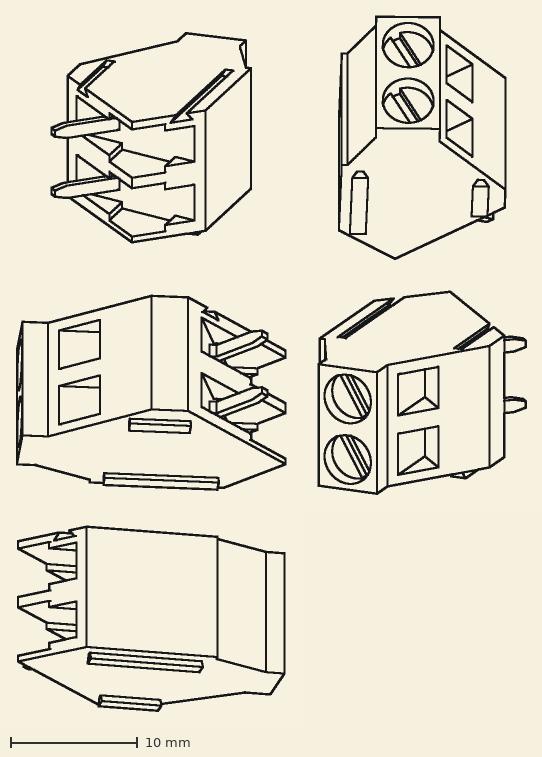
import cadquery as cq


LENGTH = 17.11
DEPTH = 16.28
HEIGHT = 10.07
HEAD_RUN = 3.56
HEAD_NECK_LEFT = 1.43
HEAD_NECK_RIGHT = 1.05
CORNER_CHAMFER = 2.05
CHAMFER_X = 5.13
RIGHT_SIDE_DEPTH = 6.39
RIDGE_X = 9.63
RIDGE_STEP = 0.32

POLES = 2
FIRST_POLE_Z = 2.5
CONTACT_PITCH = 5.01
CELL_PITCH = 4.92

POCKET_LEFT_X = 6.79
POCKET_HEIGHT = 2.98
WIDE_LEFT_X = 12.9
WIDE_HEIGHT = 4.04
WIDE_BEND_X = 15.45
WIDE_BEND_Y = 4.55
POCKET_SLOPE = WIDE_BEND_Y / (WIDE_BEND_X - POCKET_LEFT_X)

WINDOW_Y_MIN = 6.67
WINDOW_Y_MAX = 10.3
WINDOW_HEIGHT = 3.4

SCREW_DIAMETER = 4.0
SCREW_HOLE_DEPTH = 1.47
DRIVER_SLOT_WIDTH = 0.85
DRIVER_SLOT_DEPTH = 0.84
DRIVER_SLOT_TILT = 30.0

PIN_LEFT_X = 9.85
PIN_WIDTH = 0.72
PIN_HEIGHT = 1.03
PIN_LENGTH = 3.62
PIN_TAPER = 1.0
PIN_TIP_HEIGHT = 0.52
PIN_ROOT_Y = 1.01
PIN_ROOT_RUN = 0.8

SHORT_RAIL_START = (3.38, 4.55)
LONG_RAIL_START = (9.3, 12.12)
SHORT_KEY_LENGTH = 4.82
LONG_KEY_LENGTH = 9.03
KEY_HEIGHT = 0.62
KEY_NECK = 0.48
KEY_WIDTH = 1.25
GROOVE_DEPTH = 0.58
GROOVE_NECK = 0.64
GROOVE_WIDTH = 1.33

OVERCUT = 1.0


def prism(points, z_bottom, height):
    return cq.Workplane("XY").workplane(offset=z_bottom).polyline(points).close().extrude(height)


def centred_prism(points, z_centre, height):
    return prism(points, z_centre - height / 2, height)


def pole_heights(pitch):
    return [FIRST_POLE_Z + index * pitch for index in range(POLES)]


def pocket_wall_y(x):
    return (x - POCKET_LEFT_X) * POCKET_SLOPE


LEFT_WALL_TOP = (HEAD_NECK_LEFT, DEPTH - HEAD_RUN - HEAD_NECK_LEFT)
LEFT_WALL_BOTTOM = (CHAMFER_X - CORNER_CHAMFER, CORNER_CHAMFER)


def left_wall_x(y):
    fraction = (y - LEFT_WALL_BOTTOM[1]) / (LEFT_WALL_TOP[1] - LEFT_WALL_BOTTOM[1])
    return LEFT_WALL_BOTTOM[0] + fraction * (LEFT_WALL_TOP[0] - LEFT_WALL_BOTTOM[0])


def housing():
    ridge_y = RIGHT_SIDE_DEPTH + LENGTH - RIDGE_X
    outline = [
        (CHAMFER_X, 0),
        (LENGTH, 0),
        (LENGTH, RIGHT_SIDE_DEPTH),
        (RIDGE_X, ridge_y),
        (RIDGE_X - RIDGE_STEP, ridge_y - RIDGE_STEP),
        (HEAD_RUN + HEAD_NECK_RIGHT, DEPTH - HEAD_NECK_RIGHT),
        (HEAD_RUN, DEPTH),
        (0, DEPTH - HEAD_RUN),
        LEFT_WALL_TOP,
        LEFT_WALL_BOTTOM,
    ]
    return prism(outline, 0, HEIGHT)


def pin_pocket(z):
    """Pocket with a slanted back wall, open at the pin side and at +X, widened toward +X."""
    end_x = LENGTH + OVERCUT
    main_outline = [
        (POCKET_LEFT_X, 0),
        (end_x, pocket_wall_y(end_x)),
        (end_x, -OVERCUT),
        (POCKET_LEFT_X, -OVERCUT),
    ]
    wide_inner_y = (WIDE_LEFT_X - POCKET_LEFT_X) * POCKET_SLOPE / (1 + POCKET_SLOPE)
    wide_outline = [
        (WIDE_LEFT_X, -OVERCUT),
        (WIDE_LEFT_X, 0),
        (WIDE_LEFT_X - wide_inner_y, wide_inner_y),
        (WIDE_BEND_X, WIDE_BEND_Y),
        (end_x, WIDE_BEND_Y - (end_x - WIDE_BEND_X)),
        (end_x, -OVERCUT),
    ]
    main = centred_prism(main_outline, z, POCKET_HEIGHT)
    return main.union(centred_prism(wide_outline, z, WIDE_HEIGHT))


def side_window(z):
    """Window whose back wall runs inward at 45 degrees from its upper-Y edge."""
    start_x = left_wall_x(WINDOW_Y_MAX)
    back_run = WINDOW_Y_MAX - WINDOW_Y_MIN
    outline = [
        (start_x - OVERCUT, WINDOW_Y_MAX + OVERCUT),
        (start_x + back_run, WINDOW_Y_MIN),
        (start_x - OVERCUT, WINDOW_Y_MIN),
    ]
    return centred_prism(outline, z, WINDOW_HEIGHT)


def screw_recess(z):
    """Round hole square to the head face, with a tilted driver slot in its floor."""
    face_centre = (HEAD_RUN / 2, DEPTH - HEAD_RUN / 2, z)
    face = cq.Plane(origin=face_centre, xDir=(1, 1, 0), normal=(1, -1, 0))
    radius = SCREW_DIAMETER / 2
    full_depth = SCREW_HOLE_DEPTH + DRIVER_SLOT_DEPTH
    slot = (
        cq.Workplane(face)
        .transformed(rotate=(0, 0, -DRIVER_SLOT_TILT))
        .rect(DRIVER_SLOT_WIDTH, SCREW_DIAMETER)
        .extrude(full_depth)
        .intersect(cq.Workplane(face).circle(radius).extrude(full_depth))
    )
    return cq.Workplane(face).circle(radius).extrude(SCREW_HOLE_DEPTH).union(slot)


def solder_pin(z):
    """Tapered pin with a 45-degree root that runs into the back wall of its pocket."""
    right_x = PIN_LEFT_X + PIN_WIDTH
    root_end_y = PIN_ROOT_Y + PIN_ROOT_RUN
    inner_y = root_end_y + PIN_WIDTH
    plan_outline = [
        (PIN_LEFT_X, -PIN_LENGTH),
        (right_x, -PIN_LENGTH),
        (right_x, inner_y),
        (PIN_LEFT_X - PIN_ROOT_RUN, root_end_y),
        (PIN_LEFT_X, PIN_ROOT_Y),
    ]
    taper_y = PIN_TAPER - PIN_LENGTH
    half_height = PIN_HEIGHT / 2
    half_tip = PIN_TIP_HEIGHT / 2
    side_outline = [
        (-PIN_LENGTH, z - half_tip),
        (taper_y, z - half_height),
        (inner_y, z - half_height),
        (inner_y, z + half_height),
        (taper_y, z + half_height),
        (-PIN_LENGTH, z + half_tip),
    ]
    side_profile = cq.Workplane("YZ").polyline(side_outline).close().extrude(LENGTH)
    return centred_prism(plan_outline, z, PIN_HEIGHT).intersect(side_profile)


def dovetail(start, z_top, neck, width, height, length):
    """Dovetail bar, narrow at the top, running from start toward (+X, -Y)."""
    plane = cq.Plane(origin=(*start, z_top), xDir=(1, 1, 0), normal=(1, -1, 0))
    section = [(-neck / 2, 0), (neck / 2, 0), (width / 2, -height), (-width / 2, -height)]
    return cq.Workplane(plane).polyline(section).close().extrude(length)


result = housing()

for cell_z in pole_heights(CELL_PITCH):
    result = result.cut(pin_pocket(cell_z)).cut(side_window(cell_z))

for contact_z in pole_heights(CONTACT_PITCH):
    result = result.cut(screw_recess(contact_z)).union(solder_pin(contact_z))

for rail_start, key_length in (
    (SHORT_RAIL_START, SHORT_KEY_LENGTH),
    (LONG_RAIL_START, LONG_KEY_LENGTH),
):
    groove = dovetail(rail_start, HEIGHT, GROOVE_NECK, GROOVE_WIDTH, GROOVE_DEPTH, LENGTH)
    key = dovetail(rail_start, 0, KEY_NECK, KEY_WIDTH, KEY_HEIGHT, key_length)
    result = result.cut(groove).union(key)